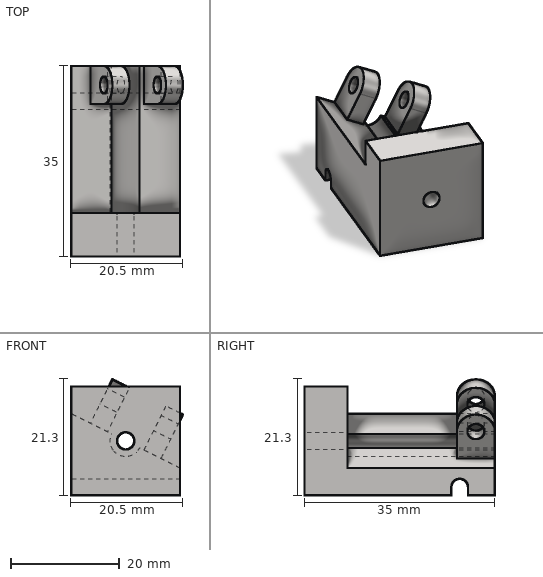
import cadquery as cq
import math

length = 35.0
side = length * 4 / 7
wall_thickness = 7.98
center = side / 2
slope_drop = side / 2
slope_angle = math.degrees(math.atan2(slope_drop, side))

bore_diameter = 3.1
groove_diameter = 5.75

lug_width = 7.0
lug_thickness = 3.5
lug_height = 9.03
lug_outer_offset = 7.25
lug_root_depth = 0.35
pin_hole_diameter = 3.1

slot_width = 3.0
slot_height = 3.0
slot_from_back = 6.48


def make_block():
    """Square block with a sloped bed behind the front wall."""
    wall = cq.Workplane("XY").box(side, wall_thickness, side, centered=False)
    left_height = center + slope_drop / 2
    right_height = center - slope_drop / 2
    bed = (
        cq.Workplane("XZ")
        .polyline([(0, 0), (side, 0), (side, right_height), (0, left_height)])
        .close()
        .extrude(-length)
    )
    return wall.union(bed)


def y_cylinder(diameter, start, end):
    """Cylinder on the central axis between two Y positions."""
    return (
        cq.Workplane("XZ", origin=(center, start, center))
        .circle(diameter / 2)
        .extrude(start - end)
    )


def make_slot():
    """Cutter for the round-topped slot, running along X."""
    radius = slot_width / 2
    middle = length - slot_from_back
    straight = slot_height - radius
    return (
        cq.Workplane("YZ")
        .moveTo(middle - radius, 0)
        .lineTo(middle - radius, straight)
        .threePointArc((middle, slot_height), (middle + radius, straight))
        .lineTo(middle + radius, 0)
        .close()
        .extrude(side)
    )


def make_lug(start_x):
    """Round-ended lug on a level bed at Z = 0, before tilting; X is from the axis."""
    radius = lug_width / 2
    middle = length - radius
    pin_height = lug_height - radius
    return (
        cq.Workplane("YZ", origin=(start_x, 0, 0))
        .moveTo(length - lug_width, -lug_root_depth)
        .lineTo(length - lug_width, pin_height)
        .threePointArc((middle, lug_height), (length, pin_height))
        .lineTo(length, -lug_root_depth)
        .close()
        .moveTo(middle, pin_height)
        .circle(pin_hole_diameter / 2)
        .extrude(lug_thickness)
    )


result = make_block()
result = result.cut(y_cylinder(bore_diameter, 0, length))
result = result.cut(y_cylinder(groove_diameter, wall_thickness, length))
result = result.cut(make_slot())

for lug_start in (-lug_outer_offset, lug_outer_offset - lug_thickness):
    lug = (
        make_lug(lug_start)
        .rotate((0, 0, 0), (0, 1, 0), slope_angle)
        .translate((center, 0, center))
    )
    result = result.union(lug)